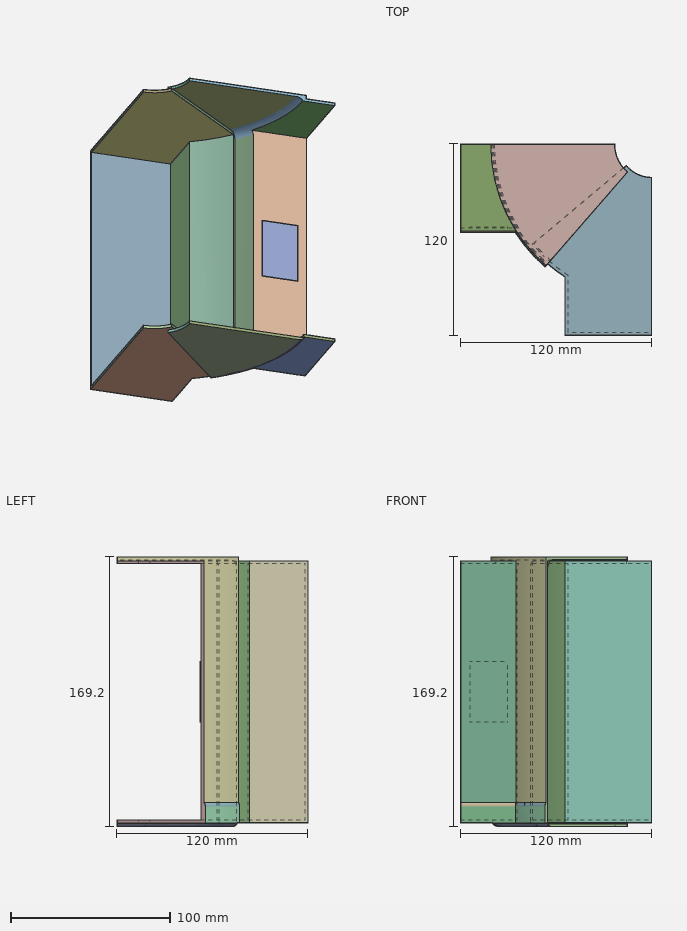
import cadquery as cq
import math

TOTAL_HEIGHT = 169.2
LEG_REACH = 120.0
AXIS_XY = LEG_REACH / 2

COVER_THICKNESS = 1.9
LEG_THICKNESS = 1.9
CLEARANCE = 0.5
COVER_HALF = TOTAL_HEIGHT / 2
CAVITY_HALF = COVER_HALF - COVER_THICKNESS
LEG_HALF = CAVITY_HALF - CLEARANCE
CHANNEL_HALF = LEG_HALF - LEG_THICKNESS

LEG_WIDTH = 54.5
COVER_RADIUS = 101.0
COVER_SIDE_THICKNESS = 1.5
JOINT_RADIUS = COVER_RADIUS - COVER_SIDE_THICKNESS
INNER_CORNER_RADIUS = 20.8
COVER_INNER_RADIUS = INNER_CORNER_RADIUS + COVER_THICKNESS + CLEARANCE
COVER_ANGLE = 49
JOINT_START_ANGLE = 40
QUARTER_TURN = 90
CAVITY_FILLET = 5

BAND_STEP = 1.0
BAND_HEIGHT = 10.2
BAND_ROUND_HEIGHT = 2.5
BAND_TOP = BAND_HEIGHT - LEG_HALF
ROUND_TOP = BAND_TOP + BAND_ROUND_HEIGHT

FOOT_ROUNDING = 5
FOOT_CENTRE_Z = FOOT_ROUNDING - COVER_HALF

CLIP_HEIGHT = 38.2
CLIP_LENGTH = 23.7
CLIP_THICKNESS = 0.5


def sector(profile, start_angle, end_angle):
    """Revolve an (r, z) profile about the corner axis; angles run from -X towards -Y."""
    solid = profile.revolve(end_angle - start_angle, (0, 0), (0, 1))
    return solid.rotate((0, 0, 0), (0, 0, 1), 180 + start_angle).translate((AXIS_XY, AXIS_XY, 0))


def ring_sector(inner_radius, outer_radius, half_height, start_angle, end_angle):
    profile = cq.Workplane("XZ").moveTo((inner_radius + outer_radius) / 2, 0)
    profile = profile.rect(outer_radius - inner_radius, 2 * half_height)
    return sector(profile, start_angle, end_angle)


def box_between(low, high):
    size = [b - a for a, b in zip(low, high)]
    return cq.Workplane("XY").box(*size, centered=False).translate(tuple(low))


def add_band(profile, wall, outward):
    """Continue a profile down its wall, over the rounded top of the band, to the legs' underside.

    The round is tangent to the band's face. `outward` is +1 or -1.
    """
    radius = (BAND_ROUND_HEIGHT**2 + BAND_STEP**2) / (2 * BAND_STEP)
    half_angle = math.asin(BAND_ROUND_HEIGHT / radius) / 2
    band_face = wall + outward * BAND_STEP
    middle = (
        band_face - outward * radius * (1 - math.cos(half_angle)),
        BAND_TOP + radius * math.sin(half_angle),
    )
    return (
        profile.lineTo(wall, ROUND_TOP)
        .threePointArc(middle, (band_face, BAND_TOP))
        .lineTo(band_face, -LEG_HALF)
    )


def cover_block():
    """Solid sector of the cover with its skirting band and rounded lower edge."""
    centre_radius = COVER_RADIUS - FOOT_ROUNDING
    start_angle = math.asin((FOOT_CENTRE_Z + LEG_HALF) / FOOT_ROUNDING)
    middle_angle = (start_angle + math.pi / 2) / 2

    def foot_point(angle):
        return (
            centre_radius + FOOT_ROUNDING * math.cos(angle),
            FOOT_CENTRE_Z - FOOT_ROUNDING * math.sin(angle),
        )

    profile = cq.Workplane("XZ").moveTo(COVER_INNER_RADIUS, COVER_HALF).lineTo(COVER_RADIUS, COVER_HALF)
    profile = add_band(profile, COVER_RADIUS, 1)
    profile = (
        profile.lineTo(*foot_point(start_angle))
        .threePointArc(foot_point(middle_angle), foot_point(math.pi / 2))
        .lineTo(COVER_INNER_RADIUS, -COVER_HALF)
        .close()
    )
    return sector(profile, 0, COVER_ANGLE)


def cover_cavity():
    """Space inside the cover, rounded along its upper outer edge."""
    mid_offset = CAVITY_FILLET * (1 - math.sqrt(0.5))
    profile = (
        cq.Workplane("XZ")
        .moveTo(COVER_INNER_RADIUS, -CAVITY_HALF)
        .lineTo(JOINT_RADIUS, -CAVITY_HALF)
        .lineTo(JOINT_RADIUS, CAVITY_HALF - CAVITY_FILLET)
        .threePointArc(
            (JOINT_RADIUS - mid_offset, CAVITY_HALF - mid_offset),
            (JOINT_RADIUS - CAVITY_FILLET, CAVITY_HALF),
        )
        .lineTo(COVER_INNER_RADIUS, CAVITY_HALF)
        .close()
    )
    return sector(profile, 0, COVER_ANGLE)


wall_y = AXIS_XY - LEG_WIDTH
inner_wall_y = wall_y + LEG_THICKNESS
wall_end_x = AXIS_XY - math.sqrt(JOINT_RADIUS**2 - (AXIS_XY - inner_wall_y) ** 2)


def fixed_leg_block():
    """Solid leg along X with its skirting band."""
    profile = cq.Workplane("YZ").moveTo(AXIS_XY, LEG_HALF).lineTo(wall_y, LEG_HALF)
    profile = add_band(profile, wall_y, -1).lineTo(AXIS_XY, -LEG_HALF).close()
    return profile.extrude(wall_end_x + AXIS_XY).translate((-AXIS_XY, 0, 0))


def make_fixed_half():
    """Leg along X and cover in one piece, open towards +Y and the corner axis."""
    channel = box_between(
        (-AXIS_XY, inner_wall_y, -CHANNEL_HALF),
        (AXIS_XY, AXIS_XY, CHANNEL_HALF),
    )
    return fixed_leg_block().union(cover_block()).cut(channel).cut(cover_cavity())


def make_turning_half(fixed_half):
    """Leg along Y with a closed end and a curved joint that turns inside the cover."""
    wall_x = AXIS_XY - LEG_WIDTH
    leg_end_y = 0
    leg = box_between((wall_x, -AXIS_XY, -LEG_HALF), (AXIS_XY, leg_end_y, LEG_HALF))
    channel = box_between(
        (wall_x + LEG_THICKNESS, LEG_THICKNESS - AXIS_XY, -CHANNEL_HALF),
        (AXIS_XY, leg_end_y, CHANNEL_HALF),
    )
    joint = ring_sector(INNER_CORNER_RADIUS, JOINT_RADIUS, LEG_HALF, JOINT_START_ANGLE, QUARTER_TURN)
    joint_space = ring_sector(
        INNER_CORNER_RADIUS, JOINT_RADIUS - LEG_THICKNESS, CHANNEL_HALF, JOINT_START_ANGLE, QUARTER_TURN
    )
    return leg.union(joint).cut(channel).cut(joint_space).cut(fixed_half)


def make_clip():
    """Thin plate halfway along the inner wall of the fixed leg."""
    middle_x = (wall_end_x - AXIS_XY) / 2
    return cq.Workplane("XY").box(CLIP_LENGTH, CLIP_THICKNESS, CLIP_HEIGHT).translate(
        (middle_x, inner_wall_y + CLIP_THICKNESS / 2, 0)
    )


fixed_half = make_fixed_half()
turning_half = make_turning_half(fixed_half)
clip = make_clip()

result = cq.Compound.makeCompound([
    fixed_half.solids().val(),
    turning_half.solids().val(),
    clip.val(),
])